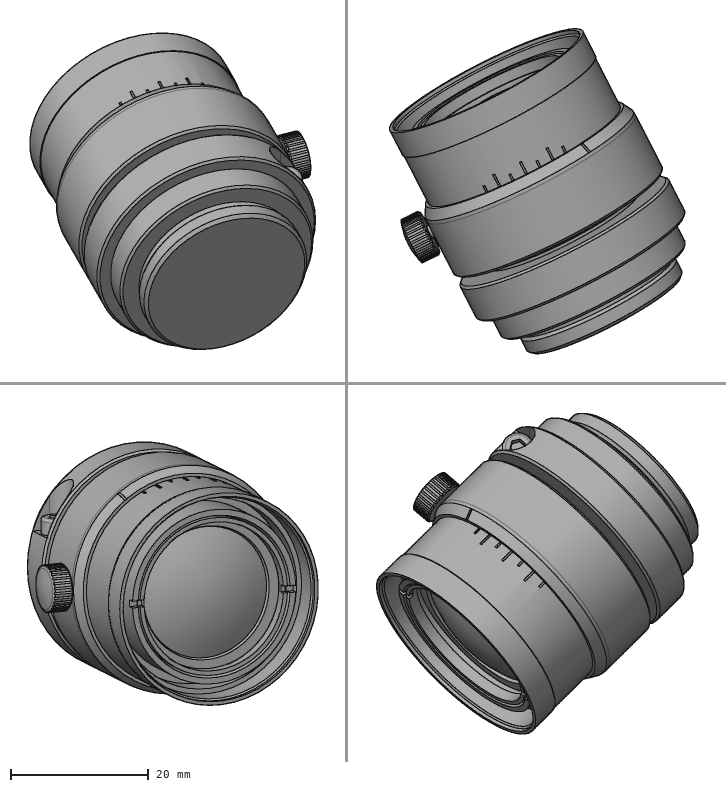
import cadquery as cq
import math

TOTAL_LENGTH = 38.51

RIM_RADIUS = 15.75
RIM_END = 4.1
BARREL_RADIUS = 15.6

FOCUS_START = 12.3
FOCUS_CONE_RADIUS = 16.1
FOCUS_CONE_END = 13.85
FOCUS_SHOULDER_RADIUS = 16.95
FOCUS_SHOULDER_END = 14.4
FOCUS_END = 23.4
BODY_RADIUS = 17.0
BODY_CHAMFER = 0.35

NECK_RADIUS = 11.1
NECK_END = 24.4
COLLAR_RADIUS = 12.1

CLAMP_START = 24.85
CLAMP_END = 30.65
FLANGE_RADIUS = 30.0 / 2
FLANGE_END = 34.75
FLANGE_CHAMFER = 0.35
RELIEF_RADIUS = 12.2
RELIEF_END = 35.7
THREAD_RADIUS = 12.65
THREAD_START = 36.15
THREAD_CHAMFER = 0.5

MOUTH_RADIUS = 15.2
MOUTH_DEPTH = 0.55
MOUTH_TAPER_END = 0.8
BORE_RADIUS = 14.95
BORE_DEPTH = 4.25
INNER_BORE_RADIUS = 14.2
INNER_BORE_DEPTH = 8.0

RETAINER_RADIUS = 12.95
RETAINER_FRONT = 1.75
RETAINER_GROOVE_OUTER = 12.05
RETAINER_GROOVE_INNER = 11.7
RETAINER_GROOVE_DEPTH = 3.2
RETAINER_INNER_FRONT = 1.9
RETAINER_BORE_RADIUS = 11.05
RETAINER_BORE_END = 3.55
SLOT_WIDTH = 1.0
SLOT_DEPTH = 1.0

SEAT_RADIUS = 23.0 / 2
SEAT_DEPTH = 4.5
SEAT_EDGE_RADIUS = 9.95
GLASS_RADIUS = 19.5 / 2
GLASS_EDGE = 5.0
GLASS_APEX = 2.65

MARK_DEPTH = 0.06
MARK_WIDTH = 0.3
INDEX_WIDTH = 0.35
SCALE_MARKS = 7
SCALE_CENTRE = 1.3
SCALE_STEP = 8.07
SHORT_MARK = 1.05
LONG_MARK = 2.0
INDEX_ANGLE = 35.4

KNOB_X = 16.3
KNOB_RADIUS = 3.5
KNOB_BOTTOM = 17.4
KNOB_SHOULDER = 20.3
KNOB_DOME_RADIUS = 3.0
KNOB_DOME_START = 20.5
KNOB_TOP = 20.94
KNOB_EDGE = 0.25
KNURL_COUNT = 30
KNURL_RADIUS = 0.15
STEM_RADIUS = 2.0 / 2

SCREW_X = (CLAMP_START + CLAMP_END) / 2
SCREW_Y = 13.5
SCREW_HEAD_RADIUS = 4.5 / 2
SCREW_HEAD_TOP = 7.7
SCREW_HEAD_ROUND = 0.45
SCREW_POCKET_RADIUS = 2.5
SCREW_POCKET_FLOOR = 5.3
HEX_WIDTH = 2.0
HEX_DEPTH = 1.0

OVERLAP = 0.5


def revolve_about_x(sketch):
    return sketch.close().revolve(360, (0, 0, 0), (1, 0, 0))


def sag_at(distance, edge_radius, edge_sag):
    """Drop of a spherical dome below its apex at a distance from its axis, given the drop at its edge."""
    sphere_radius = (edge_radius**2 + edge_sag**2) / (2 * edge_sag)
    return sphere_radius - math.sqrt(sphere_radius**2 - distance**2)


def lens_body():
    outline = (
        cq.Workplane("XY")
        .lineTo(0, RIM_RADIUS)
        .lineTo(RIM_END, RIM_RADIUS)
        .lineTo(RIM_END, BARREL_RADIUS)
        .lineTo(FOCUS_START, BARREL_RADIUS)
        .lineTo(FOCUS_START, FOCUS_CONE_RADIUS)
        .lineTo(FOCUS_CONE_END, FOCUS_SHOULDER_RADIUS)
        .lineTo(FOCUS_SHOULDER_END, BODY_RADIUS)
        .lineTo(FOCUS_END - BODY_CHAMFER, BODY_RADIUS)
        .lineTo(FOCUS_END, BODY_RADIUS - BODY_CHAMFER)
        .lineTo(FOCUS_END, NECK_RADIUS)
        .lineTo(NECK_END, NECK_RADIUS)
        .lineTo(NECK_END, COLLAR_RADIUS)
        .lineTo(CLAMP_START, COLLAR_RADIUS)
        .lineTo(CLAMP_START, BODY_RADIUS - BODY_CHAMFER)
        .lineTo(CLAMP_START + BODY_CHAMFER, BODY_RADIUS)
        .lineTo(CLAMP_END - BODY_CHAMFER, BODY_RADIUS)
        .lineTo(CLAMP_END, BODY_RADIUS - BODY_CHAMFER)
        .lineTo(CLAMP_END, FLANGE_RADIUS)
        .lineTo(FLANGE_END - FLANGE_CHAMFER, FLANGE_RADIUS)
        .lineTo(FLANGE_END, FLANGE_RADIUS - FLANGE_CHAMFER)
        .lineTo(FLANGE_END, RELIEF_RADIUS)
        .lineTo(RELIEF_END, RELIEF_RADIUS)
        .lineTo(THREAD_START, THREAD_RADIUS)
        .lineTo(TOTAL_LENGTH - THREAD_CHAMFER, THREAD_RADIUS)
        .lineTo(TOTAL_LENGTH, THREAD_RADIUS - THREAD_CHAMFER)
        .lineTo(TOTAL_LENGTH, 0)
    )
    return revolve_about_x(outline)


def front_opening():
    """Material removed from the front: stepped bore around the retaining ring, down to the domed glass."""
    half_radius = GLASS_RADIUS / 2
    half_sag = sag_at(half_radius, GLASS_RADIUS, GLASS_EDGE - GLASS_APEX)
    outline = (
        cq.Workplane("XY")
        .moveTo(-OVERLAP, 0)
        .lineTo(-OVERLAP, MOUTH_RADIUS)
        .lineTo(MOUTH_DEPTH, MOUTH_RADIUS)
        .lineTo(MOUTH_TAPER_END, BORE_RADIUS)
        .lineTo(BORE_DEPTH, BORE_RADIUS)
        .lineTo(BORE_DEPTH, INNER_BORE_RADIUS)
        .lineTo(INNER_BORE_DEPTH, INNER_BORE_RADIUS)
        .lineTo(INNER_BORE_DEPTH, RETAINER_RADIUS)
        .lineTo(RETAINER_FRONT, RETAINER_RADIUS)
        .lineTo(RETAINER_FRONT, RETAINER_GROOVE_OUTER)
        .lineTo(RETAINER_GROOVE_DEPTH, RETAINER_GROOVE_INNER)
        .lineTo(RETAINER_INNER_FRONT, RETAINER_GROOVE_INNER)
        .lineTo(RETAINER_INNER_FRONT, RETAINER_BORE_RADIUS)
        .lineTo(RETAINER_BORE_END, RETAINER_BORE_RADIUS)
        .lineTo(RETAINER_BORE_END, SEAT_RADIUS)
        .lineTo(SEAT_DEPTH, SEAT_RADIUS)
        .lineTo(SEAT_DEPTH, SEAT_EDGE_RADIUS)
        .lineTo(GLASS_EDGE, GLASS_RADIUS)
        .threePointArc((GLASS_APEX + half_sag, half_radius), (GLASS_APEX, 0))
    )
    return revolve_about_x(outline)


def retainer_slots():
    """Spanner slot across both sides of the retaining ring, along Y."""
    ring = cq.Workplane("YZ").circle(RETAINER_RADIUS + OVERLAP).circle(RETAINER_BORE_RADIUS - OVERLAP)
    ring = ring.extrude(RETAINER_FRONT + SLOT_DEPTH)
    bar = cq.Workplane("YZ").rect(2 * BODY_RADIUS, SLOT_WIDTH).extrude(RETAINER_FRONT + SLOT_DEPTH)
    return ring.intersect(bar)


def turned(shape, angle):
    """Turn a shape from the top (+Z) towards +Y about the optical axis."""
    return shape.rotate((0, 0, 0), (1, 0, 0), -angle)


def on_both_sides(cutter, angle):
    return turned(cutter, angle).union(turned(cutter, angle + 180))


def scale_mark(length):
    return (
        cq.Workplane("XY", origin=(FOCUS_START - length, 0, BARREL_RADIUS - MARK_DEPTH))
        .rect(length, MARK_WIDTH, centered=(False, True))
        .extrude(FOCUS_CONE_RADIUS - BARREL_RADIUS)
    )


def engrave_scale(body):
    for number in range(SCALE_MARKS):
        length = SHORT_MARK if number % 2 == 0 else LONG_MARK
        angle = SCALE_CENTRE + (number - SCALE_MARKS // 2) * SCALE_STEP
        body = body.cut(on_both_sides(scale_mark(length), angle))
    return body


def index_mark():
    """Shallow groove running up the conical shoulder of the focus ring."""
    return (
        cq.Workplane("XZ")
        .moveTo(FOCUS_START, FOCUS_CONE_RADIUS - MARK_DEPTH)
        .lineTo(FOCUS_CONE_END, FOCUS_SHOULDER_RADIUS - MARK_DEPTH)
        .lineTo(FOCUS_CONE_END, BODY_RADIUS + OVERLAP)
        .lineTo(FOCUS_START, BODY_RADIUS + OVERLAP)
        .close()
        .extrude(INDEX_WIDTH / 2, both=True)
    )


def locking_knob():
    """Domed knob with a knurled rim, on a stem that runs into the focus ring."""
    half_radius = KNOB_DOME_RADIUS / 2
    half_sag = sag_at(half_radius, KNOB_DOME_RADIUS, KNOB_TOP - KNOB_DOME_START)
    profile = (
        cq.Workplane("XY")
        .moveTo(0, BODY_RADIUS - OVERLAP)
        .lineTo(STEM_RADIUS, BODY_RADIUS - OVERLAP)
        .lineTo(STEM_RADIUS, KNOB_BOTTOM)
        .lineTo(KNOB_RADIUS - KNOB_EDGE, KNOB_BOTTOM)
        .lineTo(KNOB_RADIUS, KNOB_BOTTOM + KNOB_EDGE)
        .lineTo(KNOB_RADIUS, KNOB_SHOULDER)
        .lineTo(KNOB_DOME_RADIUS, KNOB_DOME_START)
        .threePointArc((half_radius, KNOB_TOP - half_sag), (0, KNOB_TOP))
    )
    knob = profile.close().revolve(360, (0, 0, 0), (0, 1, 0))
    grooves = (
        cq.Workplane("XZ", origin=(0, KNOB_TOP, 0))
        .polarArray(KNOB_RADIUS, 0, 360, KNURL_COUNT)
        .circle(KNURL_RADIUS)
        .extrude(KNOB_TOP - KNOB_BOTTOM + KNOB_EDGE)
    )
    return knob.cut(grooves).translate((KNOB_X, 0, 0))


def screw_pocket():
    """Round-ended pocket sunk from above and open towards +Y."""
    plane = cq.Workplane("XY", origin=(SCREW_X, SCREW_Y, SCREW_POCKET_FLOOR))
    height = BODY_RADIUS - SCREW_POCKET_FLOOR
    round_end = plane.circle(SCREW_POCKET_RADIUS).extrude(height)
    run_out = plane.rect(2 * SCREW_POCKET_RADIUS, BODY_RADIUS, centered=(True, False)).extrude(height)
    return round_end.union(run_out)


def clamp_screw():
    head_base = SCREW_POCKET_FLOOR - OVERLAP
    return (
        cq.Workplane("XY", origin=(SCREW_X, SCREW_Y, head_base))
        .circle(SCREW_HEAD_RADIUS)
        .extrude(SCREW_HEAD_TOP - head_base)
        .faces(">Z")
        .edges()
        .fillet(SCREW_HEAD_ROUND)
        .faces(">Z")
        .workplane()
        .polygon(6, HEX_WIDTH, circumscribed=True)
        .cutBlind(-HEX_DEPTH)
    )


body = lens_body().cut(front_opening()).cut(retainer_slots())
body = engrave_scale(body)
body = body.cut(on_both_sides(index_mark(), INDEX_ANGLE))
body = body.cut(screw_pocket()).union(clamp_screw())
result = body.union(locking_knob())